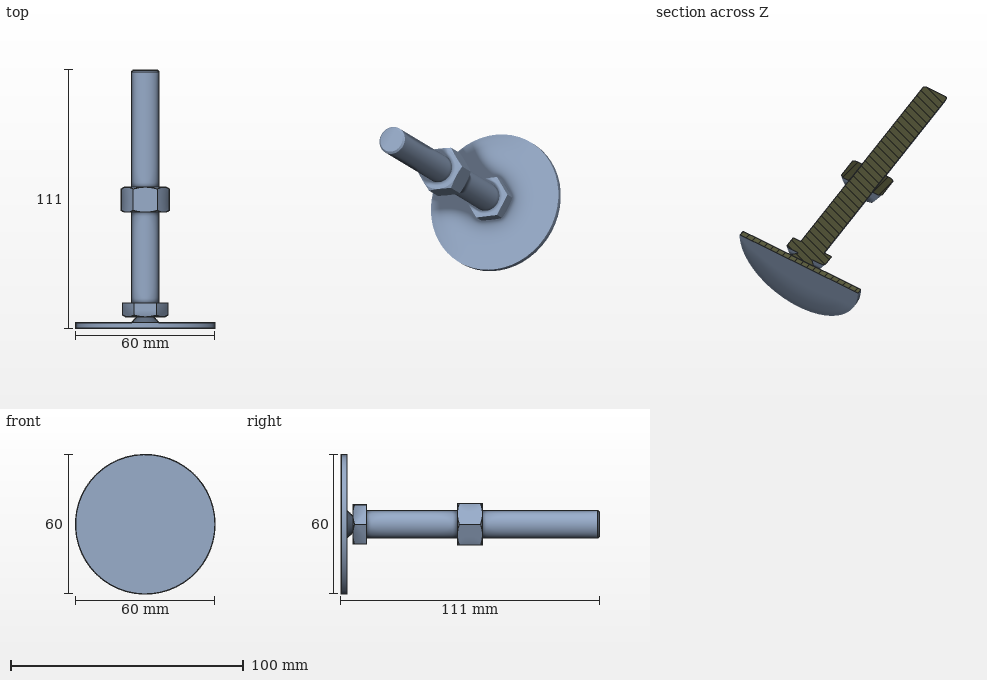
import cadquery as cq
import math

overall_length = 111.0

plate_diameter = 60.0
plate_thickness = 2.5

foot_base_radius = 5.9
foot_top_radius = 3.5
collar_start = 5.0
collar_height = 6.0
collar_across_flats = 17.0
shank_radius = 6.0
shank_chamfer = 0.8

nut_start = 50.0
nut_height = 10.8
nut_across_flats = 18.0

corner_chamfer_angle = math.radians(30)


def revolve_about_y(profile):
    """Solid of revolution from a closed (radius, y) outline."""
    return cq.Workplane("XY").polyline(profile).close().revolve(360, (0, 0, 0), (0, 1, 0))


def hex_prism(start, height, across_flats, chamfer_far_end):
    """Hexagon with corners on +X and -X, chamfered at the near end and optionally the far end."""
    corner_radius = across_flats / 2 / math.cos(math.pi / 6)
    flat_radius = across_flats / 2
    drop = (corner_radius - flat_radius) * math.tan(corner_chamfer_angle)
    end = start + height

    prism = (
        cq.Workplane("XZ", origin=(0, start, 0))
        .polygon(6, 2 * corner_radius)
        .extrude(-height)
    )
    envelope = [(0, start), (flat_radius, start), (corner_radius, start + drop)]
    if chamfer_far_end:
        envelope += [(corner_radius, end - drop), (flat_radius, end), (0, end)]
    else:
        envelope += [(corner_radius, end), (0, end)]
    return prism.intersect(revolve_about_y(envelope))


def make_plate():
    """Plain round base plate."""
    return cq.Workplane("XZ").circle(plate_diameter / 2).extrude(-plate_thickness)


def make_stud():
    """One-piece stud whose conical foot stands on the plate."""
    collar_end = collar_start + collar_height
    foot = revolve_about_y([
        (0, plate_thickness),
        (foot_base_radius, plate_thickness),
        (foot_top_radius, collar_start),
        (0, collar_start),
    ])
    collar = hex_prism(collar_start, collar_height, collar_across_flats, False)
    shank = revolve_about_y([
        (0, collar_end),
        (shank_radius, collar_end),
        (shank_radius, overall_length - shank_chamfer),
        (shank_radius - shank_chamfer, overall_length),
        (0, overall_length),
    ])
    return foot.union(collar).union(shank)


def make_nut():
    """Hexagon nut, chamfered at both ends, with a bore fitting the shank."""
    blank = hex_prism(nut_start, nut_height, nut_across_flats, True)
    bore = (
        cq.Workplane("XZ", origin=(0, nut_start, 0))
        .circle(shank_radius)
        .extrude(-nut_height)
    )
    return blank.cut(bore)


plate = make_plate()
stud = make_stud()
nut = make_nut()

result = cq.Compound.makeCompound([plate.val(), stud.val(), nut.val()])